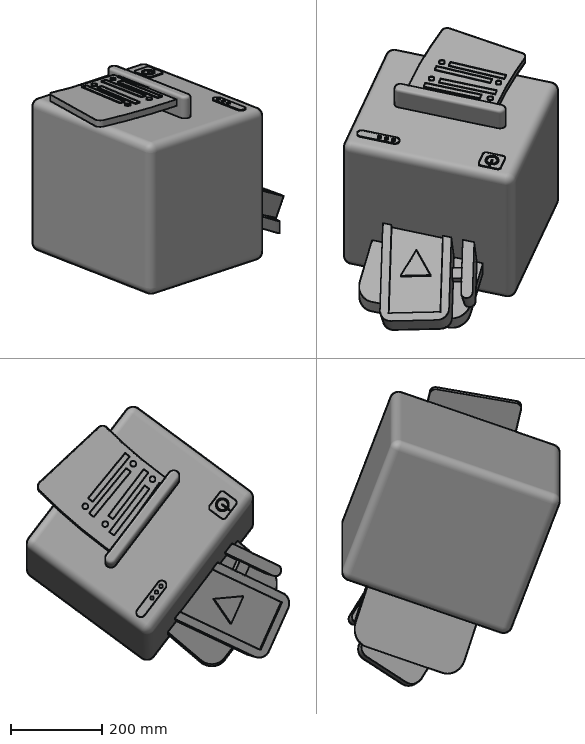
import cadquery as cq
import math

HOUSING_WIDTH = 393.7
HOUSING_DEPTH = 342.9
HOUSING_HEIGHT = 355.6
HOUSING_FILLET = 19.05
BACK_Y = HOUSING_DEPTH / 2

OUTLET_LENGTH = 254.0
OUTLET_THICKNESS = 25.4
OUTLET_HEIGHT = 50.8
OUTLET_FILLET = 6.35
OUTLET_Y = 6.35
OUTLET_FRONT_Y = OUTLET_Y - OUTLET_THICKNESS / 2

PANEL_RAISE = 2.54
PANEL_Y = 126.5
BUTTON_X = -133.35
BUTTON_WIDTH = 50.8
BUTTON_DEPTH = 44.45
BUTTON_CORNER = 7.0
SYMBOL_DEPTH = PANEL_RAISE
SYMBOL_Y = 125.2
SYMBOL_OUTER_RADIUS = 14.3
SYMBOL_INNER_RADIUS = 11.7
STROKE_WIDTH = 1.8
STROKE_LENGTH = 20.32
STROKE_BOTTOM_Y = 124.1
STROKE_Y = STROKE_BOTTOM_Y + STROKE_LENGTH / 2
LIGHTS_X = 127.0
LIGHTS_LENGTH = 96.5
LIGHTS_WIDTH = 20.32
LIGHT_RADIUS = 3.9
LIGHT_PITCH = 16.3
FIRST_LIGHT_X = 92.0

SLOPE = 26.1
TRAY_WIDTH = 254.0
TRAY_REACH = 127.0
TRAY_THICKNESS = 25.4
TRAY_CORNER = 38.1
TRAY_TOP_Z = 93.2

CASSETTE_TURN = 14.0
CASSETTE_X = 17.7
CASSETTE_WIDTH = 152.4
CASSETTE_LENGTH = 188.85
CASSETTE_THICKNESS = 50.8
CASSETTE_CORNER = 25.4
WINDOW_MARGIN = 19.05
WINDOW_DEPTH = 6.35
ARROW_WIDTH = 66.0
ARROW_LENGTH = 60.3
ARROW_BASE = 81.4
ARROW_RAISE = WINDOW_DEPTH
RAIL_WIDTH = 25.4
RAIL_GAP = 25.4
RAIL_LENGTH = 138.5
LINK_START = 52.1
LINK_LENGTH = 25.4
LINK_HEIGHT = 19.05
INNER_ALLOWANCE = 120.0

SHEET_WIDTH = 203.2
SHEET_THICKNESS = 15.24
SHEET_TOP_Z = 395.0
SHEET_CORNER = 12.7
BEND_RADIUS = 1101.0
BEND_ANGLE = 9.641
BEND_START_Y = -21.2

PRINT_RAISE = 2.0
LINE_LENGTH = 129.0
LINE_WIDTH = 12.7
DOT_RADIUS = 6.35
PRINTED_LINES = [
    (-20.5, -1.2, 2.2),
    (4.5, -25.7, 0.0),
    (-23.2, -49.1, 0.0),
    (-2.0, -83.5, -2.0),
    (-27.4, -105.5, -2.0),
]
PRINTED_DOTS = [(-81.7, -26.8), (60.4, -49.7), (-83.6, -81.1), (54.9, -108.3)]


def on_level(z):
    """Horizontal workplane at height z."""
    return cq.Workplane("XY", origin=(0, 0, z))


def make_housing_block():
    block = on_level(0).box(HOUSING_WIDTH, HOUSING_DEPTH, HOUSING_HEIGHT, centered=(True, True, False))
    return block.edges().fillet(HOUSING_FILLET)


def make_outlet():
    bar = on_level(HOUSING_HEIGHT).center(0, OUTLET_Y).slot2D(OUTLET_LENGTH, OUTLET_THICKNESS)
    return bar.extrude(OUTLET_HEIGHT).faces(">Z").edges().fillet(OUTLET_FILLET)


def make_power_button():
    button = on_level(HOUSING_HEIGHT).center(BUTTON_X, PANEL_Y).rect(BUTTON_WIDTH, BUTTON_DEPTH)
    button = button.extrude(PANEL_RAISE).edges("|Z").fillet(BUTTON_CORNER)
    button_top = HOUSING_HEIGHT + PANEL_RAISE
    ring = on_level(button_top).center(BUTTON_X, SYMBOL_Y).circle(SYMBOL_OUTER_RADIUS)
    ring = ring.circle(SYMBOL_INNER_RADIUS)
    stroke = on_level(button_top).center(BUTTON_X, STROKE_Y).rect(STROKE_WIDTH, STROKE_LENGTH)
    return button.cut(ring.extrude(-SYMBOL_DEPTH)).cut(stroke.extrude(-SYMBOL_DEPTH))


def make_status_lights():
    panel = on_level(HOUSING_HEIGHT).center(LIGHTS_X, PANEL_Y).slot2D(LIGHTS_LENGTH, LIGHTS_WIDTH)
    panel = panel.extrude(PANEL_RAISE)
    places = [(FIRST_LIGHT_X + i * LIGHT_PITCH, PANEL_Y) for i in range(3)]
    lights = on_level(HOUSING_HEIGHT + PANEL_RAISE).pushPoints(places).circle(LIGHT_RADIUS)
    return panel.cut(lights.extrude(-SYMBOL_DEPTH))


def make_tray():
    drop = TRAY_REACH * math.tan(math.radians(SLOPE))
    upright_thickness = TRAY_THICKNESS / math.cos(math.radians(SLOPE))
    end_y = BACK_Y + TRAY_REACH
    end_z = TRAY_TOP_Z - drop
    profile = [
        (BACK_Y, TRAY_TOP_Z),
        (end_y, end_z),
        (end_y, end_z - upright_thickness),
        (BACK_Y, TRAY_TOP_Z - upright_thickness),
    ]
    plate = cq.Workplane("YZ").polyline(profile).close().extrude(TRAY_WIDTH / 2, both=True)
    return plate.edges("|Z and >Y").fillet(TRAY_CORNER)


def make_housing():
    housing = make_housing_block()
    for feature in (make_outlet(), make_power_button(), make_status_lights(), make_tray()):
        housing = housing.union(feature)
    return housing


def cassette_block(left, width, start, end, bottom, top):
    """Block in the cassette's own axes: X across, Y along, Z up from the tray."""
    block = cq.Workplane("XY").box(width, end - start, top - bottom, centered=False)
    return block.translate((left, start, bottom))


def make_cassette():
    side = CASSETTE_WIDTH / 2
    floor = CASSETTE_THICKNESS - WINDOW_DEPTH
    case = cassette_block(-side, CASSETTE_WIDTH, -INNER_ALLOWANCE, CASSETTE_LENGTH, 0, CASSETTE_THICKNESS)
    case = case.edges("|Z and >Y").fillet(CASSETTE_CORNER)
    window = cassette_block(
        WINDOW_MARGIN - side,
        CASSETTE_WIDTH - 2 * WINDOW_MARGIN,
        -INNER_ALLOWANCE,
        CASSETTE_LENGTH - WINDOW_MARGIN,
        floor,
        CASSETTE_THICKNESS,
    )
    arrow_points = [
        (-ARROW_WIDTH / 2, ARROW_BASE),
        (ARROW_WIDTH / 2, ARROW_BASE),
        (0, ARROW_BASE - ARROW_LENGTH),
    ]
    arrow = on_level(floor).polyline(arrow_points).close().extrude(ARROW_RAISE)

    rail_left = -side - RAIL_GAP - RAIL_WIDTH
    rail_radius = RAIL_WIDTH / 2
    rail_straight = RAIL_LENGTH - rail_radius
    rail = cassette_block(rail_left, RAIL_WIDTH, -INNER_ALLOWANCE, rail_straight, 0, CASSETTE_THICKNESS)
    rail_end = cq.Workplane("XY").center(rail_left + rail_radius, rail_straight).circle(rail_radius)
    rail = rail.union(rail_end.extrude(CASSETTE_THICKNESS))
    link = cassette_block(-side - RAIL_GAP, RAIL_GAP, LINK_START, LINK_START + LINK_LENGTH, 0, LINK_HEIGHT)

    cassette = case.cut(window).union(arrow).union(link).union(rail)
    cassette = cassette.rotate((0, 0, 0), (0, 0, 1), CASSETTE_TURN)
    cassette = cassette.rotate((0, 0, 0), (1, 0, 0), -SLOPE)
    cassette = cassette.translate((CASSETTE_X, BACK_Y, TRAY_TOP_Z))

    trim = cq.Workplane("XY").box(2 * HOUSING_WIDTH, HOUSING_DEPTH, 2 * HOUSING_HEIGHT)
    return cassette.cut(trim)


def bent_point(offset, angle):
    """Point on the bent sheet, offset sideways from its centre line."""
    radius = BEND_RADIUS + offset
    turn = math.radians(angle)
    return (radius * math.cos(turn) - BEND_RADIUS, BEND_START_Y - radius * math.sin(turn))


def make_sheet():
    side = SHEET_WIDTH / 2
    sheet = (
        on_level(SHEET_TOP_Z - SHEET_THICKNESS)
        .moveTo(-side, OUTLET_FRONT_Y)
        .lineTo(-side, BEND_START_Y)
        .threePointArc(bent_point(-side, BEND_ANGLE / 2), bent_point(-side, BEND_ANGLE))
        .lineTo(*bent_point(side, BEND_ANGLE))
        .threePointArc(bent_point(side, BEND_ANGLE / 2), (side, BEND_START_Y))
        .lineTo(side, OUTLET_FRONT_Y)
        .close()
        .extrude(SHEET_THICKNESS)
    )
    bottom_corners = cq.selectors.BoxSelector(
        (-HOUSING_WIDTH, -HOUSING_WIDTH, 0), (HOUSING_WIDTH, -HOUSING_DEPTH / 2, 2 * HOUSING_HEIGHT)
    )
    sheet = sheet.edges("|Z").edges(bottom_corners).fillet(SHEET_CORNER)

    for x, y, tilt in PRINTED_LINES:
        line = on_level(SHEET_TOP_Z).center(x, y).transformed(rotate=(0, 0, tilt))
        sheet = sheet.union(line.rect(LINE_LENGTH, LINE_WIDTH).extrude(PRINT_RAISE))
    dots = on_level(SHEET_TOP_Z).pushPoints(PRINTED_DOTS).circle(DOT_RADIUS)
    sheet = sheet.union(dots.extrude(PRINT_RAISE))

    outlet_space = on_level(HOUSING_HEIGHT).center(0, OUTLET_Y).rect(OUTLET_LENGTH, OUTLET_THICKNESS)
    return sheet.cut(outlet_space.extrude(OUTLET_HEIGHT))


housing = make_housing()
cassette = make_cassette()
sheet = make_sheet()

result = cq.Compound.makeCompound([housing.solids().val(), cassette.solids().val(), sheet.solids().val()])